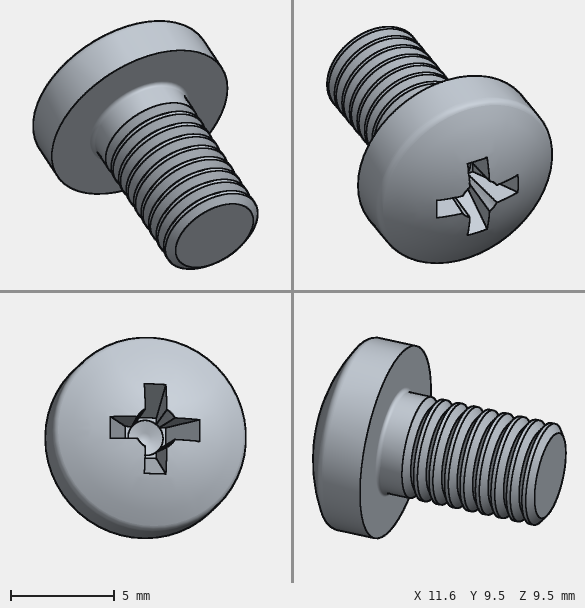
import cadquery as cq
import math


HEAD_RADIUS = 9.5 / 2
HEAD_HEIGHT = 3.7
DOME_RADIUS = 8.0
RIM_FILLET = 0.45

SHANK_LENGTH = 8.0
SHANK_RADIUS = 5.0 / 2
NECK_FILLET = 0.2
THREAD_PITCH = 0.8
THREAD_DEPTH = 0.4
CREST_WIDTH = 0.2
GROOVE_COUNT = 8

ARM_WIDTH = 1.06
ARM_REACH = 2.2
ARM_FOOT = 0.99
ARM_END_ANGLE = 26.5
CORE_FLOOR_RADIUS = 0.86
CORE_TAPER = 4.4
TIP_SLOPE = 20.0
CUT_CLEARANCE = 0.5


def dome_x(radius):
    """X of the dome surface at a distance from the axis."""
    sag = DOME_RADIUS - math.sqrt(DOME_RADIUS**2 - radius**2)
    return sag - HEAD_HEIGHT


RECESS_TOP_X = -HEAD_HEIGHT - CUT_CLEARANCE
RECESS_FLOOR_X = dome_x(ARM_REACH) + (ARM_REACH - ARM_FOOT) / math.tan(math.radians(ARM_END_ANGLE))


def revolve_about_x(profile):
    """Turn a closed profile, drawn as (X, radius), about the X axis."""
    return profile.close().revolve(360, (0, 0, 0), (1, 0, 0))


def make_head():
    dome_centre_x = DOME_RADIUS - HEAD_HEIGHT
    fillet_centre_r = HEAD_RADIUS - RIM_FILLET
    centre_distance = DOME_RADIUS - RIM_FILLET
    fillet_centre_x = dome_centre_x - math.sqrt(centre_distance**2 - fillet_centre_r**2)
    dome_edge_angle = math.asin(fillet_centre_r / centre_distance)
    fillet_mid_angle = (dome_edge_angle + math.pi / 2) / 2

    def on_dome(angle):
        return (dome_centre_x - DOME_RADIUS * math.cos(angle), DOME_RADIUS * math.sin(angle))

    fillet_middle = (
        fillet_centre_x - RIM_FILLET * math.cos(fillet_mid_angle),
        fillet_centre_r + RIM_FILLET * math.sin(fillet_mid_angle),
    )
    profile = (
        cq.Workplane("XY")
        .moveTo(0, 0)
        .lineTo(-HEAD_HEIGHT, 0)
        .threePointArc(on_dome(dome_edge_angle / 2), on_dome(dome_edge_angle))
        .threePointArc(fillet_middle, (fillet_centre_x, HEAD_RADIUS))
        .lineTo(0, HEAD_RADIUS)
    )
    return revolve_about_x(profile)


def make_shank():
    root_radius = SHANK_RADIUS - THREAD_DEPTH
    flank_length = (THREAD_PITCH - CREST_WIDTH) / 2
    first_root_x = SHANK_LENGTH - GROOVE_COUNT * THREAD_PITCH
    neck_offset = NECK_FILLET * (1 - math.sqrt(0.5))

    profile = (
        cq.Workplane("XY")
        .moveTo(0, 0)
        .lineTo(0, SHANK_RADIUS + NECK_FILLET)
        .threePointArc((neck_offset, SHANK_RADIUS + neck_offset), (NECK_FILLET, SHANK_RADIUS))
        .lineTo(first_root_x - flank_length, SHANK_RADIUS)
    )
    for groove in range(GROOVE_COUNT):
        root_x = first_root_x + groove * THREAD_PITCH
        crest_x = root_x + flank_length
        profile = (
            profile.lineTo(root_x, root_radius)
            .lineTo(crest_x, SHANK_RADIUS)
            .lineTo(crest_x + CREST_WIDTH, SHANK_RADIUS)
        )
    profile = profile.lineTo(SHANK_LENGTH, root_radius).lineTo(SHANK_LENGTH, 0)
    return revolve_about_x(profile)


def make_recess():
    depth = RECESS_FLOOR_X - RECESS_TOP_X
    arm_top = ARM_FOOT + depth * math.tan(math.radians(ARM_END_ANGLE))
    arm_pair = (
        cq.Workplane("XY")
        .polyline([
            (RECESS_TOP_X, -arm_top),
            (RECESS_TOP_X, arm_top),
            (RECESS_FLOOR_X, ARM_FOOT),
            (RECESS_FLOOR_X, -ARM_FOOT),
        ])
        .close()
        .extrude(ARM_WIDTH / 2, both=True)
    )
    cross_pair = arm_pair.rotate((0, 0, 0), (1, 0, 0), 90)

    core_top_radius = CORE_FLOOR_RADIUS + depth * math.tan(math.radians(CORE_TAPER))
    tip_depth = CORE_FLOOR_RADIUS * math.tan(math.radians(TIP_SLOPE))
    core = revolve_about_x(
        cq.Workplane("XY")
        .moveTo(RECESS_TOP_X, 0)
        .lineTo(RECESS_TOP_X, core_top_radius)
        .lineTo(RECESS_FLOOR_X, CORE_FLOOR_RADIUS)
        .lineTo(RECESS_FLOOR_X + tip_depth, 0)
    )
    return core.union(arm_pair).union(cross_pair)


result = make_head().union(make_shank()).cut(make_recess())